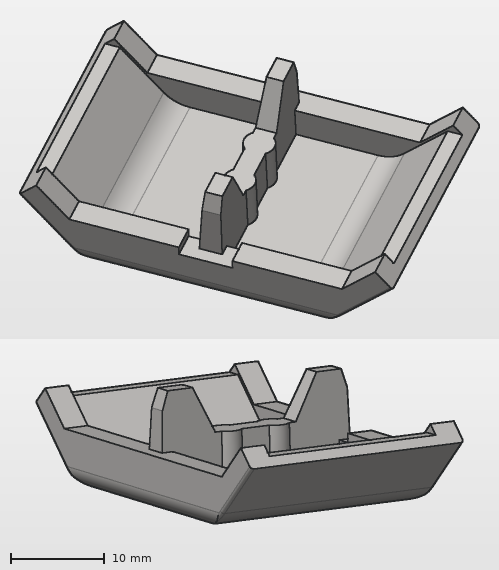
import cadquery as cq
import math

LENGTH = 42.45
WIDTH = 27.0
HEIGHT = 12.6

FLOOR = 2.5
DECK_Z = 6.0
END_Z = 7.75
ARM_THICKNESS = 2.8
INNER_BEND = 4.2
OUTER_BEND = INNER_BEND + FLOOR
SIDE_WALL = 2.95
LEDGE_Z = 8.7
BOTTOM_ROUND = 2.0
SLOPE_ROUND = 0.4

NOTCH_WIDTH = 6.05
NOTCH_DEPTH = 1.0

RIB_HALF_BASE = 1.4
RIB_HALF_TOP = 0.98
RIB_Z = 7.5
POST_FOOT_Y = 12.0
POST_SHOULDER_Y = 11.7
POST_SHOULDER_Z = 10.52
POST_TOP_OUTER_Y = 11.0
POST_TOP_INNER_Y = 7.85
POST_INNER_FOOT_Y = 5.1

BOSS_Y = 3.0
BOSS_BASE_RADIUS = 1.9
BOSS_TOP_RADIUS = 1.75
BOSS_TAPER = math.degrees(math.atan((BOSS_BASE_RADIUS - BOSS_TOP_RADIUS) / (RIB_Z - FLOOR)))

HALF_LENGTH = LENGTH / 2
HALF_WIDTH = WIDTH / 2
INNER_HALF_WIDTH = HALF_WIDTH - SIDE_WALL
SLOPE = math.radians(45)
SIN_SLOPE = math.sin(SLOPE)
HALF_SLOPE = SLOPE / 2


def extrude_along_y(profile, half_width):
    return profile.extrude(half_width, both=True)


def trough(floor_z, corner_x, bend, top_x, top_points):
    """Outline in XZ: flat floor, a bend at each end and a 45 degree slope up to top_x.

    corner_x is where floor and slope would meet without the bend; top_points are
    the remaining points on the +X side, mirrored to the -X side.
    """
    tangent = bend * math.tan(HALF_SLOPE)
    flat_x = corner_x - tangent
    slope_x = corner_x + tangent * SIN_SLOPE
    slope_z = floor_z + tangent * SIN_SLOPE
    middle_x = flat_x + bend * math.sin(HALF_SLOPE)
    middle_z = floor_z + bend * (1 - math.cos(HALF_SLOPE))
    top_z = floor_z + top_x - corner_x
    outline = (
        cq.Workplane("XZ")
        .moveTo(-flat_x, floor_z)
        .lineTo(flat_x, floor_z)
        .threePointArc((middle_x, middle_z), (slope_x, slope_z))
        .lineTo(top_x, top_z)
    )
    for x, z in top_points:
        outline = outline.lineTo(x, z)
    for x, z in reversed(top_points):
        outline = outline.lineTo(-x, z)
    return (
        outline.lineTo(-top_x, top_z)
        .lineTo(-slope_x, slope_z)
        .threePointArc((-middle_x, middle_z), (-flat_x, floor_z))
        .close()
    )


def make_shell():
    corner_x = HALF_LENGTH - END_Z
    arm_step = ARM_THICKNESS * SIN_SLOPE
    tip_x = HALF_LENGTH - arm_step
    tip_z = END_Z + arm_step
    arm_foot_x = tip_x - (tip_z - DECK_Z)
    profile = trough(0, corner_x, OUTER_BEND, HALF_LENGTH, [(tip_x, tip_z), (arm_foot_x, DECK_Z)])
    shell = extrude_along_y(profile, HALF_WIDTH)

    for side in (-1, 1):
        selector = cq.selectors.NearestToPointSelector((0, side * HALF_WIDTH, 0))
        shell = shell.edges(selector).fillet(SLOPE_ROUND)

    envelope = (
        cq.Workplane("XY")
        .box(LENGTH, WIDTH, HEIGHT, centered=(True, True, False))
        .edges("|X and <Z")
        .fillet(BOTTOM_ROUND)
    )
    return shell.intersect(envelope)


def make_pocket():
    """Space between the side walls, reaching out over the ledges of the end walls."""
    corner_x = HALF_LENGTH - END_Z - FLOOR / SIN_SLOPE + FLOOR
    ledge_x = corner_x + LEDGE_Z - FLOOR
    points = [(HALF_LENGTH, LEDGE_Z), (HALF_LENGTH, HEIGHT)]
    return extrude_along_y(trough(FLOOR, corner_x, INNER_BEND, ledge_x, points), INNER_HALF_WIDTH)


def make_notch():
    return cq.Workplane("XY", origin=(0, -HALF_WIDTH, DECK_Z - NOTCH_DEPTH)).box(
        NOTCH_WIDTH, SIDE_WALL, NOTCH_DEPTH, centered=(True, False, False)
    )


def make_rib():
    half_outline = [
        (POST_FOOT_Y, FLOOR),
        (POST_SHOULDER_Y, POST_SHOULDER_Z),
        (POST_TOP_OUTER_Y, HEIGHT),
        (POST_TOP_INNER_Y, HEIGHT),
        (POST_INNER_FOOT_Y, RIB_Z),
    ]
    mirrored = [(-y, z) for y, z in reversed(half_outline)]
    side_shape = cq.Workplane("YZ").polyline(half_outline + mirrored).close()
    side_shape = side_shape.extrude(RIB_HALF_BASE, both=True)
    taper = (
        cq.Workplane("XZ")
        .polyline([
            (-RIB_HALF_BASE, FLOOR),
            (RIB_HALF_BASE, FLOOR),
            (RIB_HALF_TOP, HEIGHT),
            (-RIB_HALF_TOP, HEIGHT),
        ])
        .close()
    )
    return side_shape.intersect(extrude_along_y(taper, HALF_WIDTH))


def make_bosses():
    return (
        cq.Workplane("XY", origin=(0, 0, FLOOR))
        .pushPoints([(0, -BOSS_Y), (0, BOSS_Y)])
        .circle(BOSS_BASE_RADIUS)
        .extrude(RIB_Z - FLOOR, taper=BOSS_TAPER)
    )


result = (
    make_shell()
    .cut(make_pocket())
    .cut(make_notch())
    .union(make_rib())
    .union(make_bosses())
)